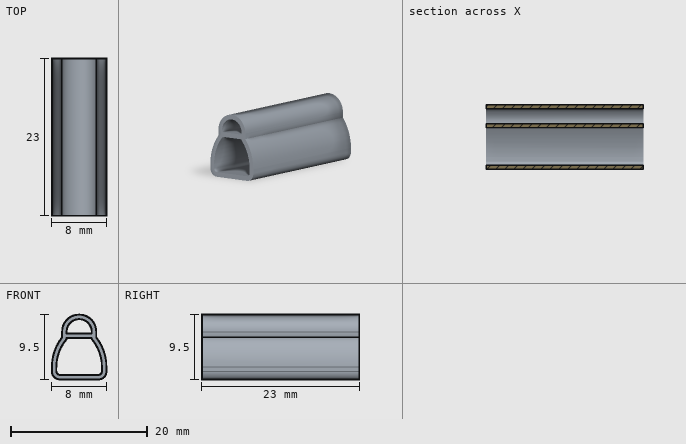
import cadquery as cq
import math

length = 23.0
width = 8.0
height = 9.5
wall = 0.7

arch_radius = 2.5
flank_radius = 7.0
flank_start_z = 1.85
corner_radius = 1.2
shelf_top_z = 6.75

arch_center_z = height - arch_radius
flank_center_x = width / 2 - flank_radius
shelf_bottom_z = shelf_top_z - wall


def flank_point(radius, angle):
    """Point on the +X flank at an angle above the horizontal."""
    x = flank_center_x + radius * math.cos(angle)
    z = flank_start_z + radius * math.sin(angle)
    return x, z


def mirrored(point):
    return -point[0], point[1]


def prism(profile):
    """Extrude an XZ outline along Y, centred on the origin."""
    return profile.close().extrude(length / 2, both=True)


def arched_prism(radius, floor_z):
    """Half-round arch on straight sides, closed by a flat floor."""
    profile = (
        cq.Workplane("XZ")
        .moveTo(-radius, floor_z)
        .lineTo(radius, floor_z)
        .lineTo(radius, arch_center_z)
        .threePointArc((0, arch_center_z + radius), (-radius, arch_center_z))
    )
    return prism(profile)


def base_prism(offset, neck_half_width, top_z):
    """Base chamber outline, inset by offset, with rounded bottom corners."""
    half_width = width / 2 - offset
    radius = flank_radius - offset
    neck_angle = math.acos((neck_half_width - flank_center_x) / radius)
    neck = flank_point(radius, neck_angle)
    middle = flank_point(radius, neck_angle / 2)
    profile = (
        cq.Workplane("XZ")
        .moveTo(-half_width, offset)
        .lineTo(half_width, offset)
        .lineTo(half_width, flank_start_z)
        .threePointArc(middle, neck)
        .lineTo(neck_half_width, top_z)
        .lineTo(-neck_half_width, top_z)
        .lineTo(*mirrored(neck))
        .threePointArc(mirrored(middle), (-half_width, flank_start_z))
    )
    body = prism(profile)
    return body.faces("<Z").edges("|Y").fillet(corner_radius - offset)


outer = base_prism(0, arch_radius, shelf_top_z).union(arched_prism(arch_radius, shelf_bottom_z))
inner_half_width = arch_radius - wall
upper_chamber = arched_prism(inner_half_width, shelf_top_z)
lower_chamber = base_prism(wall, inner_half_width, shelf_bottom_z)

result = outer.cut(upper_chamber).cut(lower_chamber)